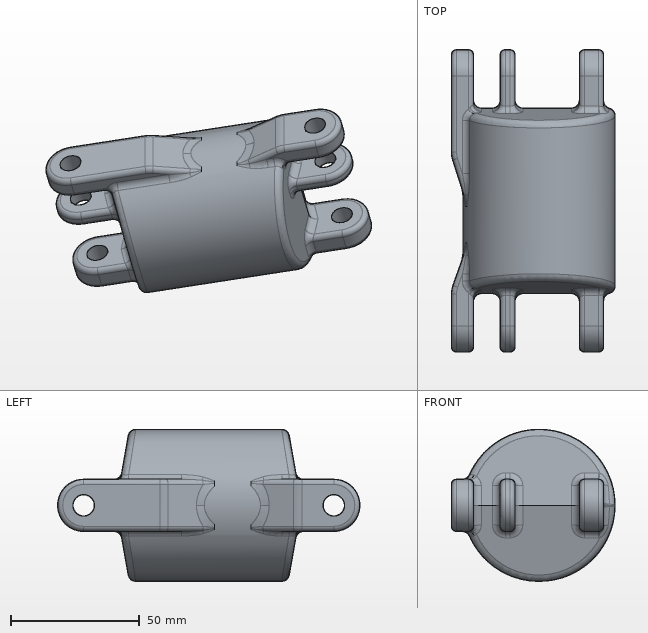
import cadquery as cq
import math

BARREL_RADIUS = 29.5
RIDGE_Y = 36.0
END_SLOPE = math.radians(10)
RIM_FILLET = 3.0

LUG_RADIUS = 10.125
LUG_TIP_Y = 58.625
PIVOT_Y = LUG_TIP_Y - LUG_RADIUS
HOLE_DIAMETER = 8.2
LUG_EDGE_FILLET = 2.0
ROOT_FILLET = 3.0
MIDDLE_LUG_X = (-15.1, -9.3)
OUTER_LUG_X = (15.6, 25.05)

ARM_X = (-34.0, -25.4)
REAR_BEND_Y = 17.3
REAR_FOOT_Y = 3.3
FRONT_BEND_Y = 34.4
FRONT_FOOT_Y = 21.8
RAMP_FILLET = 10.0
ARM_BURIED_X = -15.0
ARM_SHOULDER_Y = 30.0
CUSP_Y = 5.5

CLEARANCE = 0.1
WIDE_ARM_HALF = 16.0
SPAN = 4 * LUG_TIP_Y


def make_barrel():
    """Barrel with sloping ends and rounded rims."""
    shoulder_y = RIDGE_Y - BARREL_RADIUS * math.tan(END_SLOPE)
    rear_points = [(shoulder_y, -BARREL_RADIUS), (RIDGE_Y, 0), (shoulder_y, BARREL_RADIUS)]
    front_points = [(-y, -z) for y, z in rear_points]
    side = cq.Workplane("YZ").polyline(rear_points + front_points).close().extrude(BARREL_RADIUS, both=True)
    barrel = cq.Workplane("XZ").circle(BARREL_RADIUS).extrude(RIDGE_Y, both=True).intersect(side)
    return barrel.edges("%Ellipse").fillet(RIM_FILLET)


def upper_part(shape, start_y):
    """The part of a shape with Z >= 0 and Y >= start_y."""
    keep = cq.Workplane("XY", origin=(0, start_y, 0)).box(SPAN, SPAN, SPAN, centered=(True, False, False))
    return shape.intersect(keep)


def lug_plate(x_range, start_y):
    x_start, x_end = x_range
    return (
        cq.Workplane("YZ", origin=(x_start, 0, 0))
        .moveTo(start_y, LUG_RADIUS)
        .lineTo(PIVOT_Y, LUG_RADIUS)
        .threePointArc((LUG_TIP_Y, 0), (PIVOT_Y, -LUG_RADIUS))
        .lineTo(start_y, -LUG_RADIUS)
        .close()
        .extrude(x_end - x_start)
    )


def make_lug(x_range):
    plate = lug_plate(x_range, ARM_SHOULDER_Y)
    return plate.faces("<X or >X").edges("not <Y").fillet(LUG_EDGE_FILLET)


def add_lug(end, x_range):
    """Join a lug to the end face and fillet its root."""
    x_start, x_end = x_range
    root = cq.selectors.BoxSelector(
        (x_start - CLEARANCE, ARM_SHOULDER_Y, -CLEARANCE),
        (x_end + CLEARANCE, RIDGE_Y + CLEARANCE, LUG_RADIUS + CLEARANCE),
        boundingbox=True,
    )
    return end.union(upper_part(make_lug(x_range), 0)).edges(root).fillet(ROOT_FILLET)


def edges_at_x(x):
    return cq.selectors.BoxSelector((x - CLEARANCE, 0, -SPAN), (x + CLEARANCE, SPAN, SPAN), boundingbox=True)


def make_arm(barrel, bend_y, foot_y, start_y):
    """Arm whose outer surface flows off the ramp onto the barrel, with its outer edges rounded."""
    x_out, x_in = ARM_X
    ramp_slope = (bend_y - foot_y) / (-BARREL_RADIUS - x_out)
    buried_y = bend_y - ramp_slope * (ARM_BURIED_X - x_out)
    outline = [
        (x_out, LUG_TIP_Y),
        (x_out, bend_y),
        (ARM_BURIED_X, buried_y),
        (ARM_BURIED_X, ARM_SHOULDER_Y),
        (x_in, ARM_SHOULDER_Y),
        (x_in, LUG_TIP_Y),
    ]
    ramp = cq.Workplane("XY").polyline(outline).close().extrude(WIDE_ARM_HALF, both=True)
    bend = cq.selectors.NearestToPointSelector((x_out, bend_y, 0))
    ramp = ramp.edges("|Z").edges(bend).fillet(RAMP_FILLET)

    foot = cq.selectors.NearestToPointSelector((-BARREL_RADIUS, foot_y, 0))
    wide_arm = barrel.union(ramp).edges("%Ellipse").edges(foot).fillet(RAMP_FILLET)
    trimmed = wide_arm.intersect(lug_plate((x_out, ARM_BURIED_X), start_y))
    return trimmed.edges(edges_at_x(x_out)).edges("not |Z").fillet(LUG_EDGE_FILLET)


def make_end(barrel, bend_y, foot_y):
    """Upper half of one end of the part, built towards +Y."""
    start_y = foot_y - CUSP_Y
    end = upper_part(barrel, start_y)
    for x_range in (MIDDLE_LUG_X, OUTER_LUG_X):
        end = add_lug(end, x_range)

    end = end.union(upper_part(make_arm(barrel, bend_y, foot_y, start_y - RAMP_FILLET), start_y))
    x_in = ARM_X[1]
    back_edge = cq.selectors.NearestToPointSelector((x_in, (RIDGE_Y + PIVOT_Y) / 2, LUG_RADIUS))
    end = end.edges(back_edge).fillet(LUG_EDGE_FILLET)
    root = cq.selectors.NearestToPointSelector((x_in, RIDGE_Y, LUG_RADIUS / 2))
    return end.edges(root).fillet(ROOT_FILLET)


def drill_pivots(part):
    pivots = [(PIVOT_Y, 0), (-PIVOT_Y, 0)]
    holes = cq.Workplane("YZ").pushPoints(pivots).circle(HOLE_DIAMETER / 2).extrude(SPAN, both=True)
    return part.cut(holes)


barrel = make_barrel()
rear_end = make_end(barrel, REAR_BEND_Y, REAR_FOOT_Y)
front_end = make_end(barrel, FRONT_BEND_Y, FRONT_FOOT_Y).mirror("XZ")
upper_half = upper_part(barrel, -SPAN / 2).union(rear_end).union(front_end)
result = drill_pivots(upper_half.union(upper_half.mirror("XY")).clean())